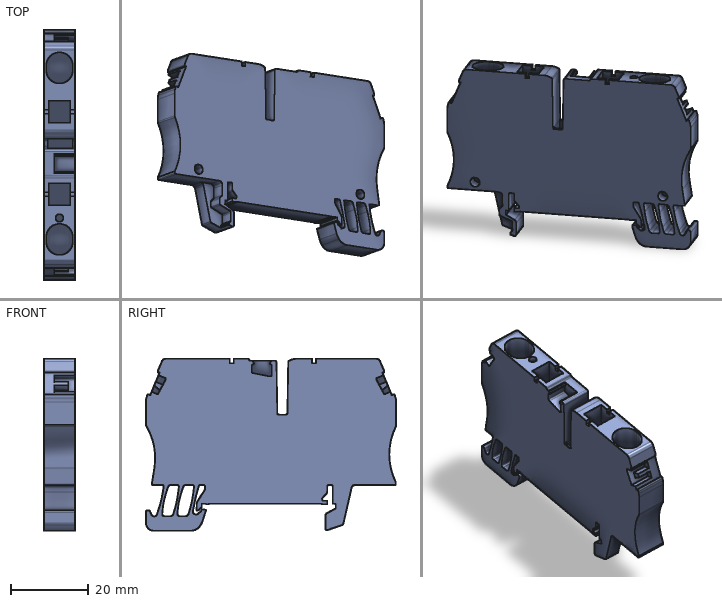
import cadquery as cq
import math


WIDTH = 8.1
LENGTH = 65.0
HEIGHT = 44.7
SIDE_X = -WIDTH / 2
END_Y = LENGTH / 2

SKIRT_Z = 11.9
RAIL_Z = 7.0
MARKER_TOP_Z = 44.2

SLOPE_TOP = (28.95, 41.05)
SLOPE_BOTTOM = (31.4, 35.15)

GRIP_RADIUS = 16.3
GRIP_TOP_Z = 27.1
GRIP_EDGE_Z = 27.5
REAR_GRIP_CENTRE = (30.73 + GRIP_RADIUS, 19.85)
FRONT_GRIP_CENTRE = (-30.1 - GRIP_RADIUS, 18.9)
FRONT_GRIP_END_Z = 16.4
REAR_GRIP_END_Z = 2 * REAR_GRIP_CENTRE[1] - GRIP_TOP_Z

SLIT_FLOOR_Z = 30.2
SLIT_REAR_Y = 4.22
SLIT_FRONT_Y = 1.67
SLIT_TAPER = 0.22
SLIT_FLOOR_RADIUS = 0.4
SLIT_POCKET_X = (-3.03, 3.44)
SLIT_POCKET_DEPTH = 4.0

FOOT_SLOT_TOP_Y = -19.95
FOOT_SLOT_FLOOR_Z = 3.85
FOOT_SLOT_COUNT = 2
FOOT_WEB_PITCH = 3.93

SQUARE_SIDE = 5.7
SQUARE_CENTRES_Y = (11.15, -10.2)
SQUARE_DEPTH = 12.0
NOTCH_WIDTH = 1.0
NOTCH_DEPTH = 1.15
WIRE_LENGTH = 8.1
WIRE_WIDTH = 6.9
WIRE_CENTRES_Y = (22.55, -21.95)
WIRE_DEPTH = 12.0
TEST_HOLE_DIAMETER = 2.0
TEST_HOLE_Y = -16.4
TEST_HOLE_DEPTH = 8.0

PIN_DIAMETER = 2.5
PIN_SPACING = 50.1
PIN_Z = 14.1
PIN_DEPTH = 4.0

POCKET_X = -1.35
END_POCKET_TOP_DEPTH = 2.2
END_POCKET_BOTTOM_DEPTH = 1.75
END_POCKET_TOP = 0.7
END_POCKET_BOTTOM = 5.35
TAB_TOP = 2.55
TAB_BOTTOM = 3.55
TAB_ROOT_BOTTOM = 4.3
TAB_X = 2.3

HOOK_RECESS_DEPTH = WIDTH / 2
RECESS_END_Y = 22.5
RECESS_END_Z = -1.0


def rounded_wire(plane, corners):
    """Closed outline through (u, v, radius) corners, rounded where the radius is not zero."""
    pieces = []
    for i, (u, v, radius) in enumerate(corners):
        corner = cq.Vector(u, v)
        before = cq.Vector(*corners[i - 1][:2])
        after = cq.Vector(*corners[(i + 1) % len(corners)][:2])
        to_before = (before - corner).normalized()
        to_after = (after - corner).normalized()
        half_angle = to_before.getAngle(to_after) / 2
        setback = radius / math.tan(half_angle)
        middle = (to_before + to_after).normalized() * (radius / math.sin(half_angle) - radius)
        arc_start = corner + to_before * setback
        arc_end = corner + to_after * setback
        pieces.append((arc_start, corner + middle, arc_end, radius))
    sketch = plane.moveTo(pieces[0][2].x, pieces[0][2].y)
    for start, middle, end, radius in pieces[1:] + pieces[:1]:
        sketch = sketch.lineTo(start.x, start.y)
        if radius:
            sketch = sketch.threePointArc((middle.x, middle.y), (end.x, end.y))
    return sketch.close()


def prism(corners, x_from=SIDE_X, x_to=WIDTH / 2):
    """Solid with a rounded (y, z, radius) outline, running from x_from to x_to."""
    return rounded_wire(cq.Workplane("YZ", origin=(x_from, 0, 0)), corners).extrude(x_to - x_from)


def shoulder(sign):
    """Outline of one end from the top face down to the grip, on the side given by sign."""
    corners = [
        (28.05, HEIGHT, 1.2),
        (29.45, 41.4, 0.3),
        (29.3, 41.1, 0),
        (*SLOPE_TOP, 0),
        (*SLOPE_BOTTOM, 0),
        (31.6, 35.4, 0),
        (32.1, 35.4, 0.2),
        (END_Y, 34.05, 4.0),
        (END_Y, GRIP_EDGE_Z, 0),
    ]
    return [(sign * y, z, radius) for y, z, radius in corners]


def grip_y(centre, z):
    """Y of a finger grip's surface at height z."""
    reach = math.sqrt(GRIP_RADIUS**2 - (z - centre[1]) ** 2)
    return centre[0] - math.copysign(reach, centre[0])


def housing():
    """Full-width body with the slit, the rail hook and the spring foot in one outline."""
    top = [
        (-5.85, HEIGHT, 0.2),
        (-5.55, MARKER_TOP_Z, 0.3),
        (SLIT_FRONT_Y - SLIT_TAPER, MARKER_TOP_Z, 0.55),
        (SLIT_FRONT_Y, SLIT_FLOOR_Z, SLIT_FLOOR_RADIUS),
        (SLIT_REAR_Y, SLIT_FLOOR_Z, SLIT_FLOOR_RADIUS),
        (SLIT_REAR_Y + SLIT_TAPER, 44.0, 0.4),
        (5.5, HEIGHT, 3.5),
    ]
    rear_skirt = [
        (grip_y(REAR_GRIP_CENTRE, GRIP_TOP_Z), GRIP_TOP_Z, 0),
        (grip_y(REAR_GRIP_CENTRE, REAR_GRIP_END_Z), REAR_GRIP_END_Z, 0),
        (32.4, SKIRT_Z, 0.3),
    ]
    hook = [
        (21.1, SKIRT_Z, 1.0),
        (18.75, 1.6, 0.6),
        (14.3, 0.05, 0.4),
        (14.08, 0.6, 0.2),
        (14.08, 4.4, 0.9),
        (16.8, 5.85, 0),
        (16.8, RAIL_Z, 0.2),
        (16.0, RAIL_Z, 0),
        (16.0, SKIRT_Z, 0.4),
        (14.6, SKIRT_Z, 0.4),
        (14.6, 9.85, 0.6),
        (13.25, 8.4, 0.2),
        (13.4, 7.85, 0),
        (14.6, 7.85, 0),
        (14.6, 6.9, 0),
        (13.2, 6.9, 0),
        (13.1, RAIL_Z, 0),
    ]
    rail_tongue = [
        (-16.1, RAIL_Z, 0),
        (-16.2, 6.9, 0),
        (-16.8, 6.9, 0),
        (-16.9, RAIL_Z, 0),
        (-17.95, RAIL_Z, 0),
        (-17.95, 6.2, 0),
        (-19.2, 5.0, 0.2),
        (-19.35, 5.5, 0),
        (-19.3, 7.4, 2.0),
        (-17.15, 10.75, 0.5),
        (-17.15, SKIRT_Z, 0.4),
        (-18.65, SKIRT_Z, 0.4),
        (-19.55, 8.6, 20.0),
        (-20.35, 4.6, 0.6),
        (-19.3, 4.2, 0),
        (-18.2, 5.1, 0),
        (-18.0, 5.65, 0.2),
        (-16.8, 5.5, 0.2),
        (-17.9, 2.0, 5.0),
        (-19.3, 0, 3.0),
    ]
    foot_end = [
        (-END_Y, 0, 2.1),
        (-END_Y, 5.35, 0.48),
        (-31.5, 5.35, 0.48),
        (-30.8, 3.8, 0.7),
        (-29.8, 3.8, 0.7),
        (-28.5, 7.6, 30.0),
        (FOOT_SLOT_TOP_Y - FOOT_SLOT_COUNT * FOOT_WEB_PITCH, SKIRT_Z, 0.4),
    ]
    front_grip_end_y = grip_y(FRONT_GRIP_CENTRE, FRONT_GRIP_END_Z)
    rise = FRONT_GRIP_CENTRE[1] - FRONT_GRIP_END_Z
    grip_slope = rise / (front_grip_end_y - FRONT_GRIP_CENTRE[0])
    front_skirt = [
        (front_grip_end_y - grip_slope * (FRONT_GRIP_END_Z - SKIRT_Z), SKIRT_Z, 0.3),
        (front_grip_end_y, FRONT_GRIP_END_Z, 0),
    ]
    outline = shoulder(1) + rear_skirt + hook + rail_tongue + foot_end + front_skirt
    front_grip_top = [(grip_y(FRONT_GRIP_CENTRE, GRIP_TOP_Z), GRIP_TOP_Z, 0)]
    return prism(outline + front_grip_top + shoulder(-1)[::-1] + top)


def grips():
    plane = cq.Workplane("YZ", origin=(SIDE_X, 0, 0))
    return plane.pushPoints([REAR_GRIP_CENTRE, FRONT_GRIP_CENTRE]).circle(GRIP_RADIUS).extrude(WIDTH)


def foot_slots():
    slot = prism([
        (FOOT_SLOT_TOP_Y, SKIRT_Z, 0.4),
        (-22.6, SKIRT_Z, 0.8),
        (-24.0, 7.6, 20.0),
        (-24.3, FOOT_SLOT_FLOOR_Z, 0.5),
        (-21.6, FOOT_SLOT_FLOOR_Z, 0.8),
        (-20.5, 7.6, 25.0),
    ])
    slots = slot
    for i in range(1, FOOT_SLOT_COUNT):
        slots = slots.union(slot.translate((0, -i * FOOT_WEB_PITCH, 0)))
    return slots


def hook_recess():
    """Step in the closed side of the rail hook, leaving a thin rib along its inner edge."""
    corners = [
        (RECESS_END_Y, SKIRT_Z, 0),
        (17.75, SKIRT_Z, 1.0),
        (17.75, 8.1, 0.3),
        (18.6, 7.3, 0.3),
        (18.6, 5.6, 0.4),
        (15.05, 4.15, 0.4),
        (15.05, 1.6, 0),
        (15.65, 1.0, 0),
        (15.65, RECESS_END_Z, 0),
        (RECESS_END_Y, RECESS_END_Z, 0),
    ]
    return prism(corners, x_to=SIDE_X + HOOK_RECESS_DEPTH)


def top_plane(z=HEIGHT):
    return cq.Workplane("XY", origin=(0, 0, z))


def top_openings():
    squares = [(0, y) for y in SQUARE_CENTRES_Y]
    wires = [(0, y) for y in WIRE_CENTRES_Y]
    cut = top_plane().pushPoints(squares).rect(SQUARE_SIDE, SQUARE_SIDE).extrude(-SQUARE_DEPTH)
    cut = cut.union(top_plane().pushPoints(squares).rect(WIDTH, NOTCH_WIDTH).extrude(-NOTCH_DEPTH))
    wire_slots = top_plane().pushPoints(wires).slot2D(WIRE_LENGTH, WIRE_WIDTH, 90)
    cut = cut.union(wire_slots.extrude(-WIRE_DEPTH))
    test_hole = top_plane().center(0, TEST_HOLE_Y).circle(TEST_HOLE_DIAMETER / 2).extrude(-TEST_HOLE_DEPTH)
    return cut.union(test_hole)


def slit_pocket():
    x_from, x_to = SLIT_POCKET_X
    middle_x = (x_from + x_to) / 2
    middle_y = (SLIT_REAR_Y + SLIT_FRONT_Y) / 2
    mouth = top_plane(SLIT_FLOOR_Z + SLIT_FLOOR_RADIUS).center(middle_x, middle_y)
    return mouth.rect(x_to - x_from, SLIT_REAR_Y - SLIT_FRONT_Y).extrude(-SLIT_POCKET_DEPTH)


def marker_pocket():
    """Snap-in pocket for a marker, with a small overhanging lip at each end."""
    corners = [
        (0.3, HEIGHT, 0),
        (0.3, MARKER_TOP_Z, 0),
        (0.0, 44.05, 0),
        (-0.35, 43.4, 0),
        (0.2, 43.0, 0),
        (0.2, 40.0, 0.4),
        (-4.95, 41.0, 0.4),
        (-4.95, 43.0, 0),
        (-4.4, 43.4, 0),
        (-4.7, 44.05, 0),
        (-4.85, MARKER_TOP_Z, 0),
        (-4.85, HEIGHT, 0),
    ]
    return prism(corners, x_from=POCKET_X)


def end_pocket(sign):
    """Pocket in the sloped shoulder with a flush tab standing across it."""
    run = SLOPE_BOTTOM[0] - SLOPE_TOP[0]
    drop = SLOPE_TOP[1] - SLOPE_BOTTOM[1]
    slope_length = math.hypot(run, drop)

    def corner(along, depth, radius=0):
        y = SLOPE_TOP[0] + (along * run - depth * drop) / slope_length
        z = SLOPE_TOP[1] - (along * drop + depth * run) / slope_length
        return (sign * y, z, radius)

    pocket = prism(
        [
            corner(END_POCKET_TOP, 0),
            corner(END_POCKET_TOP, END_POCKET_TOP_DEPTH, 0.3),
            corner(END_POCKET_BOTTOM, END_POCKET_BOTTOM_DEPTH),
            corner(END_POCKET_BOTTOM, 0),
        ],
        x_from=POCKET_X,
    )
    tab = prism(
        [
            corner(TAB_TOP, 0),
            corner(TAB_TOP, END_POCKET_TOP_DEPTH),
            corner(TAB_ROOT_BOTTOM, END_POCKET_TOP_DEPTH),
            corner(TAB_BOTTOM, 0),
        ],
        x_from=POCKET_X,
        x_to=TAB_X,
    )
    return pocket.cut(tab)


def pin_holes():
    plane = cq.Workplane("YZ", origin=(SIDE_X, 0, 0))
    centres = [(PIN_SPACING / 2, PIN_Z), (-PIN_SPACING / 2, PIN_Z)]
    return plane.pushPoints(centres).circle(PIN_DIAMETER / 2).extrude(PIN_DEPTH)


result = housing()
for cutter in (
    grips(),
    foot_slots(),
    hook_recess(),
    top_openings(),
    slit_pocket(),
    marker_pocket(),
    end_pocket(1),
    end_pocket(-1),
    pin_holes(),
):
    result = result.cut(cutter)